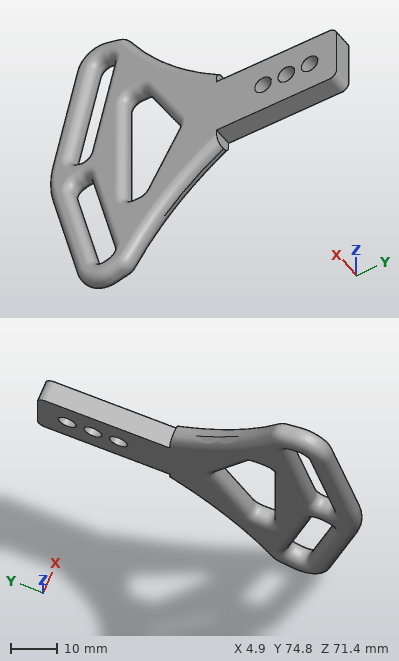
import cadquery as cq
import math

thickness = 4.9
edge_round = 2.1

tang_length = 31.0
tang_width = 14.7
tang_corner_radius = 2.0
hole_diameter = 4.23
hole_pitch = 6.0
hole_count = 3
first_hole_y = 12.0

blade_length = 43.75
blade_height = 71.41
shoulder_height = 21.4
flank_radius = 72.0
edge_angle = math.radians(14.0)
tip_radius = 20.0
outer_corner_radius = 7.0
flank_corner_radius = 3.5
end_width = 11.5

slot_wall = 5.0
slot_width = 5.1
slot_length = 28.85

window_base_y = -24.0
window_apex_y = -9.85
window_height = 32.0
window_flank_angle = math.radians(60.0)

opening_corner_radius = 2.0

along = (math.sin(edge_angle), math.cos(edge_angle))
outward = (-math.cos(edge_angle), math.sin(edge_angle))

apex_y = -blade_length + tip_radius - tip_radius / math.cos(edge_angle)

corner_centre_z = blade_height / 2 - outer_corner_radius
edge_length = (corner_centre_z + outer_corner_radius * outward[1]) / along[1] + outer_corner_radius


def edge_point(distance_along, depth):
    """Point (Y, Z) at a distance up the front edge and a depth inside it."""
    y = apex_y + distance_along * along[0] - depth * outward[0]
    z = distance_along * along[1] - depth * outward[1]
    return (y, z)


def mirrored(point):
    return (point[0], -point[1])


def extrude_across(sketch):
    """Extrude a YZ profile to both sides of X = 0."""
    return sketch.extrude(thickness / 2, both=True)


def round_corner(solid, point, radius):
    """Round the thickness-wise edges at a point (Y, Z) and at its mirror image."""
    for y, z in {point, mirrored(point)}:
        corner = cq.selectors.NearestToPointSelector((0, y, z))
        solid = solid.edges("|X").edges(corner).fillet(radius)
    return solid


def flank_midpoint(start, end):
    """Middle of the concave flank arc, which sags toward the part's centre line."""
    chord_y = end[0] - start[0]
    chord_z = end[1] - start[1]
    chord = math.hypot(chord_y, chord_z)
    sag = flank_radius - math.sqrt(flank_radius**2 - chord**2 / 4)
    mid_y = (start[0] + end[0]) / 2 - sag * chord_z / chord
    mid_z = (start[1] + end[1]) / 2 + sag * chord_y / chord
    return (mid_y, mid_z)


def make_blade_plate():
    shoulder = (0, shoulder_height / 2)
    flank_corner = edge_point(edge_length, end_width)
    outer_corner = edge_point(edge_length, 0)
    tip = (apex_y, 0)
    flank_middle = flank_midpoint(shoulder, flank_corner)
    outline = (
        cq.Workplane("YZ")
        .moveTo(*shoulder)
        .threePointArc(flank_middle, flank_corner)
        .lineTo(*outer_corner)
        .lineTo(*tip)
        .lineTo(*mirrored(outer_corner))
        .lineTo(*mirrored(flank_corner))
        .threePointArc(mirrored(flank_middle), mirrored(shoulder))
        .close()
    )
    plate = extrude_across(outline)
    plate = round_corner(plate, flank_corner, flank_corner_radius)
    plate = round_corner(plate, outer_corner, outer_corner_radius)
    return round_corner(plate, tip, tip_radius)


def make_slot(side):
    """Slot cutter for the upper (side = 1) or lower (side = -1) half."""
    y, z = edge_point(edge_length - slot_wall - slot_length / 2, slot_wall + slot_width / 2)
    block = cq.Workplane("XY").box(thickness, slot_width, slot_length)
    block = block.edges("|X").fillet(opening_corner_radius)
    tilt = -side * math.degrees(edge_angle)
    return block.rotate((0, 0, 0), (1, 0, 0), tilt).translate((0, y, side * z))


def make_window():
    half_height = window_height / 2
    shoulder_y = window_apex_y - half_height / math.tan(window_flank_angle)
    outline = cq.Workplane("YZ").polyline(
        [
            (window_apex_y, 0),
            (shoulder_y, half_height),
            (window_base_y, half_height),
            (window_base_y, -half_height),
            (shoulder_y, -half_height),
        ]
    ).close()
    return extrude_across(outline).edges("|X").fillet(opening_corner_radius)


def make_blade():
    """Blade with its openings, all edges rounded except those of the flat shoulder face."""
    blade = make_blade_plate().cut(make_window())
    for side in (1, -1):
        blade = blade.cut(make_slot(side))
    rims = blade.faces("<X or >X").edges()
    shoulder_edges = blade.faces(">Y").edges().vals()
    rounded_edges = [edge for edge in rims.vals() if edge not in shoulder_edges]
    return rims.newObject(rounded_edges).fillet(edge_round)


def make_tang():
    outline = cq.Workplane("YZ").center(tang_length / 2, 0).rect(tang_length, tang_width)
    bar = extrude_across(outline).edges("|X and >Y").fillet(tang_corner_radius)
    hole_places = [(first_hole_y + i * hole_pitch, 0) for i in range(hole_count)]
    holes = cq.Workplane("YZ").pushPoints(hole_places).circle(hole_diameter / 2)
    return bar.cut(extrude_across(holes))


result = make_blade().union(make_tang())